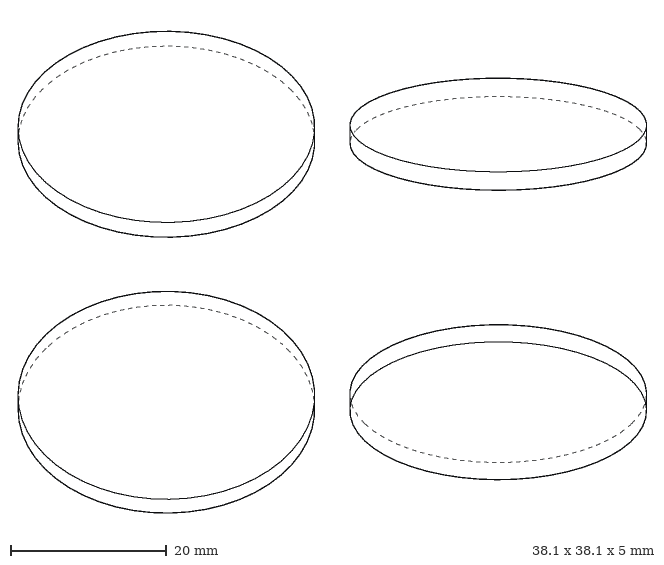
import cadquery as cq

diameter = 38.1
center_thickness = 5.0
edge_thickness = 2.5

radius = diameter / 2
half_center = center_thickness / 2
half_edge = edge_thickness / 2

sagitta = half_center - half_edge
face_radius = (radius**2 + sagitta**2) / (2 * sagitta)


def arc_midpoint(side):
    """Point on a spherical face halfway out to the rim; side is +1 (top) or -1 (bottom)."""
    x = -radius / 2
    drop = face_radius - (face_radius**2 - x**2) ** 0.5
    return (x, side * (half_center - drop))


def make_lens():
    """Revolve the half section lying on the -X side about the Z axis."""
    half_section = (
        cq.Workplane("XZ")
        .moveTo(0, -half_center)
        .threePointArc(arc_midpoint(-1), (-radius, -half_edge))
        .lineTo(-radius, half_edge)
        .threePointArc(arc_midpoint(1), (0, half_center))
        .close()
    )
    return half_section.revolve(360, (0, 0, 0), (0, 1, 0))


result = make_lens()